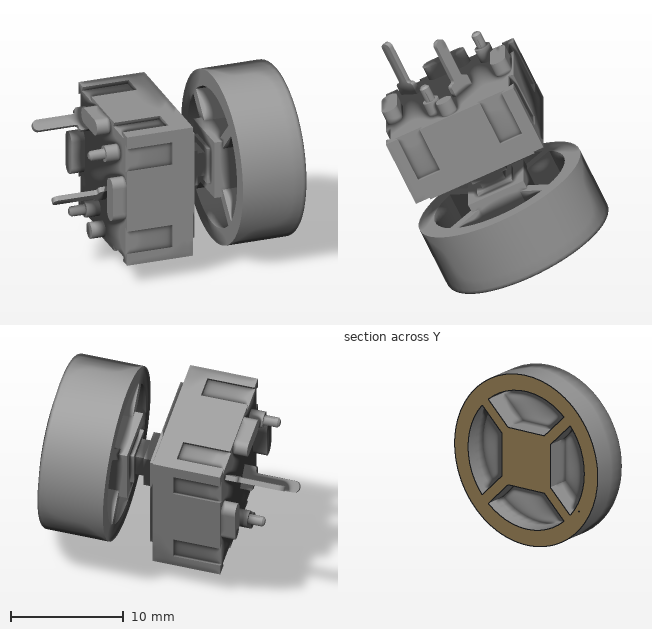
import cadquery as cq
import math


BODY_SIDE = 12.5
BODY_DEPTH = 6.22
PLATE_SIDE = 10.17
PLATE_TOP = 6.78
SHAFT_SIDE = 3.37
SHAFT_NECK_SIDE = 2.25
NECK_START = 8.3
NECK_END = 9.2

POCKET_LENGTH = 4.32
POCKET_DEPTH = 0.47
POCKET_OFFSET = 4.02
POCKET_MOUTH = 2.15
POCKET_FLOOR = 2.71

KNOB_RADIUS = 7.94
KNOB_BOTTOM = 10.3
KNOB_EDGE = 16.4
KNOB_TOP = 17.36
KNOB_EDGE_FILLET = 0.45
RECESS_RADIUS = 6.4
RECESS_DEPTH = 4.52
HUB_SIDE = 5.4
HUB_BOTTOM = 9.55
RIB_THICKNESS = 1.0

STANDOFF_DIAMETER = 1.5
STANDOFF_HEIGHT = 1.3
STANDOFF_OFFSET = 5.31
SLOT_LENGTH = 4.07

PIN_DIAMETER = 0.9
PIN_LENGTH = 2.74
PIN_CHAMFER = 0.18
CRUSH_RIB_REACH = 0.52
CRUSH_RIB_HALF_BASE = 0.43
CRUSH_RIB_LENGTH = 2.25

TERMINAL_HEAD_WIDTH = 2.2
TERMINAL_BLADE_WIDTH = 1.05
TERMINAL_THICKNESS = 0.45
TERMINAL_HEAD_LENGTH = 1.13
OVERALL_LENGTH = 22.6
TERMINAL_LENGTH = OVERALL_LENGTH - KNOB_TOP
TERMINAL_HEAD_FILLET = 0.27
TERMINAL_NECK_FILLET = 0.25
TERMINAL_TIP_FILLET = 0.47

GRID = 1.27
PIN_PLACES = [(3 * GRID, 3 * GRID), (-GRID, -3 * GRID)]
TERMINAL_PLACES = [(-3 * GRID, 3 * GRID, 45), (GRID, -GRID, -45)]

EMBED = 0.23


def section(y):
    """Sketch plane facing -Y at depth y: sketch x is X and sketch y is Z."""
    return cq.Workplane("XZ", origin=(0, y, 0))


def square_bar(side, start, end):
    return section(end).rect(side, side).extrude(end - start)


def make_housing():
    housing = square_bar(BODY_SIDE, 0, BODY_DEPTH)
    half = BODY_SIDE / 2
    pocket = (
        section(POCKET_LENGTH)
        .moveTo(-POCKET_MOUTH / 2, half)
        .lineTo(POCKET_MOUTH / 2, half)
        .lineTo(POCKET_FLOOR / 2, half - POCKET_DEPTH)
        .lineTo(-POCKET_FLOOR / 2, half - POCKET_DEPTH)
        .close()
        .extrude(POCKET_LENGTH)
    )
    for side in range(4):
        for offset in (-POCKET_OFFSET, POCKET_OFFSET):
            placed = pocket.translate((offset, 0, 0)).rotate((0, 0, 0), (0, 1, 0), 90 * side)
            housing = housing.cut(placed)
    return housing.union(square_bar(PLATE_SIDE, BODY_DEPTH - EMBED, PLATE_TOP))


def make_shaft():
    shaft = square_bar(SHAFT_SIDE, PLATE_TOP - EMBED, NECK_START)
    shaft = shaft.union(square_bar(SHAFT_NECK_SIDE, NECK_START, NECK_END))
    return shaft.union(square_bar(SHAFT_SIDE, NECK_END, KNOB_BOTTOM))


def make_knob():
    rise = KNOB_TOP - KNOB_EDGE
    rim = KNOB_RADIUS - KNOB_EDGE_FILLET / 2
    dome_radius = (rim ** 2 + rise ** 2) / (2 * rise)
    dome_center = KNOB_TOP - dome_radius
    dome_half = rim / 2
    dome_mid = dome_center + math.sqrt(dome_radius ** 2 - dome_half ** 2)
    dome_end = dome_center + math.sqrt(dome_radius ** 2 - KNOB_RADIUS ** 2)
    knob = (
        cq.Workplane("XY")
        .moveTo(0, KNOB_BOTTOM)
        .lineTo(KNOB_RADIUS, KNOB_BOTTOM)
        .lineTo(KNOB_RADIUS, dome_end)
        .threePointArc((dome_half, dome_mid), (0, KNOB_TOP))
        .close()
        .revolve(360, (0, 0), (0, 1))
    )
    knob = knob.faces("%CYLINDER").edges(">Y").fillet(KNOB_EDGE_FILLET)
    recess_floor = KNOB_BOTTOM + RECESS_DEPTH
    recess = section(recess_floor).circle(RECESS_RADIUS).extrude(RECESS_DEPTH)
    knob = knob.cut(recess)
    rib_length = 2 * RECESS_RADIUS + EMBED
    for angle in (45, -45):
        rib = section(recess_floor).rect(rib_length, RIB_THICKNESS).extrude(RECESS_DEPTH)
        knob = knob.union(rib.rotate((0, 0, 0), (0, 1, 0), angle))
    return knob.union(square_bar(HUB_SIDE, HUB_BOTTOM, recess_floor + EMBED))


def make_standoffs():
    height = STANDOFF_HEIGHT + EMBED
    round_places = PIN_PLACES + [(0, -STANDOFF_OFFSET)]
    standoffs = section(EMBED).pushPoints(round_places).circle(STANDOFF_DIAMETER / 2).extrude(height)
    slot_places = [(0, STANDOFF_OFFSET, 0), (-STANDOFF_OFFSET, 0, 90), (STANDOFF_OFFSET, 0, 90)]
    for x, z, turn in slot_places:
        slot = section(EMBED).center(x, z).slot2D(SLOT_LENGTH, STANDOFF_DIAMETER, turn).extrude(height)
        standoffs = standoffs.union(slot)
    return standoffs


def make_pin():
    """Locating pin on the Y axis with sharp crush ribs toward +Z and -Z."""
    pin = section(0).circle(PIN_DIAMETER / 2).extrude(PIN_LENGTH).faces("<Y").chamfer(PIN_CHAMFER)
    rhombus = [
        (0, CRUSH_RIB_REACH),
        (CRUSH_RIB_HALF_BASE, 0),
        (0, -CRUSH_RIB_REACH),
        (-CRUSH_RIB_HALF_BASE, 0),
    ]
    ribs = section(0).polyline(rhombus).close().extrude(CRUSH_RIB_LENGTH)
    return pin.union(ribs)


def make_terminal():
    """Flat terminal on the Y axis, wide along X at the head and narrow at the tip."""
    half_head = TERMINAL_HEAD_WIDTH / 2
    half_blade = TERMINAL_BLADE_WIDTH / 2
    outline = [
        (-half_head, EMBED),
        (-half_head, -TERMINAL_HEAD_LENGTH),
        (-half_blade, -TERMINAL_HEAD_LENGTH),
        (-half_blade, -TERMINAL_LENGTH),
        (half_blade, -TERMINAL_LENGTH),
        (half_blade, -TERMINAL_HEAD_LENGTH),
        (half_head, -TERMINAL_HEAD_LENGTH),
        (half_head, EMBED),
    ]
    terminal = cq.Workplane("XY").polyline(outline).close().extrude(TERMINAL_THICKNESS / 2, both=True)
    corners = [
        (half_head, TERMINAL_HEAD_LENGTH, TERMINAL_HEAD_FILLET),
        (half_blade, TERMINAL_HEAD_LENGTH, TERMINAL_NECK_FILLET),
        (half_blade, TERMINAL_LENGTH, TERMINAL_TIP_FILLET),
    ]
    for half_width, length, radius in corners:
        for x in (-half_width, half_width):
            corner = cq.selectors.NearestToPointSelector((x, -length, 0))
            terminal = terminal.edges("|Z").edges(corner).fillet(radius)
    return terminal


result = make_housing().union(make_shaft()).union(make_knob()).union(make_standoffs())
for x, z in PIN_PLACES:
    result = result.union(make_pin().translate((x, 0, z)))
for x, z, turn in TERMINAL_PLACES:
    terminal = make_terminal().rotate((0, 0, 0), (0, 1, 0), turn)
    result = result.union(terminal.translate((x, 0, z)))